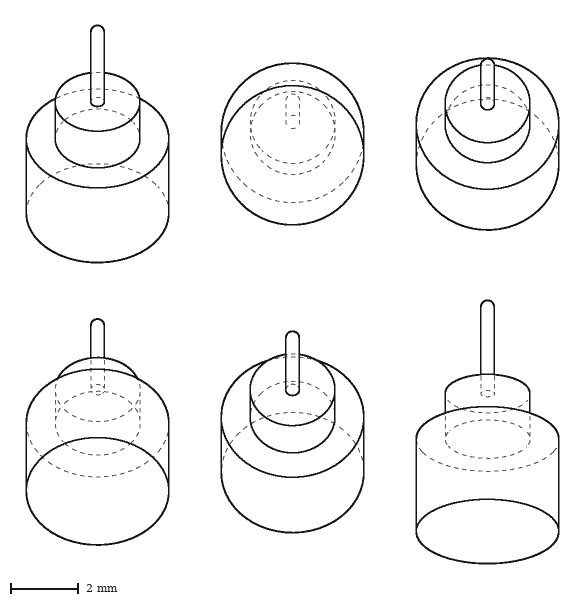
import cadquery as cq

total_height = 7.6

body_diameter = 4.2
body_height = 3.055
collar_diameter = 2.5
collar_height = 1.5
collar_top = body_height + collar_height

insulator_diameter = 1.95

pin_diameter = 0.4
pin_length = total_height - collar_top


def make_shell():
    """Body and collar, with a bore in the collar for the insulator."""
    body = cq.Workplane("XY").circle(body_diameter / 2).extrude(body_height)
    collar = (
        cq.Workplane("XY")
        .workplane(offset=body_height)
        .circle(collar_diameter / 2)
        .circle(insulator_diameter / 2)
        .extrude(collar_height)
    )
    return body.union(collar)


def make_insulator():
    """Disc that fills the collar bore up to its top face."""
    return (
        cq.Workplane("XY")
        .workplane(offset=body_height)
        .circle(insulator_diameter / 2)
        .extrude(collar_height)
    )


def make_pin():
    """Round pin rising from the insulator to a hemispherical tip."""
    tip_radius = pin_diameter / 2
    shank_length = pin_length - tip_radius
    shank = (
        cq.Workplane("XY")
        .workplane(offset=collar_top)
        .circle(tip_radius)
        .extrude(shank_length)
    )
    tip_center = (0, 0, collar_top + shank_length)
    tip = cq.Workplane("XY").sphere(tip_radius).translate(tip_center)
    return shank.union(tip)


result = (
    make_shell()
    .union(make_insulator(), clean=False)
    .union(make_pin(), clean=False)
)